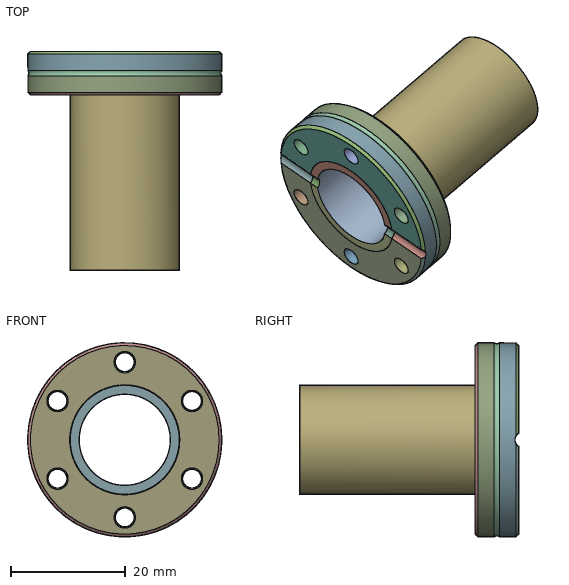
import cadquery as cq

total_length = 38.1
flange_diameter = 33.8
flange_thickness = 7.62
rim_chamfer = 0.5

tube_outer_diameter = 19.0
tube_inner_diameter = 15.8
tube_seat_diameter = 19.1

bolt_count = 6
first_bolt_angle = 90.0
bolt_circle_diameter = 27.0
bolt_hole_diameter = 3.25
countersink_diameter = 3.75
countersink_angle = 90.0

rim_groove_offset = 3.8
rim_groove_width = 0.9
rim_groove_depth = 0.15

leak_groove_radius = 1.37
leak_groove_depth = 0.65

flange_front_y = -flange_thickness
tube_mouth_y = -total_length


def along_y(start_y):
    """Workplane at start_y that extrudes toward +Y, with local y along -Z."""
    return cq.Workplane("XZ", origin=(0, start_y, 0)).transformed(rotate=(180, 0, 0))


def make_leak_groove():
    """Cylinder along X whose lower part cuts across the sealing face."""
    axis_y = leak_groove_radius - leak_groove_depth
    return (
        cq.Workplane("YZ")
        .center(axis_y, 0)
        .circle(leak_groove_radius)
        .extrude(flange_diameter / 2, both=True)
    )


def make_rim_groove():
    """Ring, revolved about Y, that cuts the shallow arc groove into the rim."""
    rim_radius = flange_diameter / 2
    half_width = rim_groove_width / 2
    arc_radius = (half_width**2 + rim_groove_depth**2) / (2 * rim_groove_depth)
    arc_centre_x = rim_radius - rim_groove_depth + arc_radius
    return (
        cq.Workplane("XY")
        .center(arc_centre_x, -rim_groove_offset)
        .circle(arc_radius)
        .revolve(360, (-arc_centre_x, 0), (-arc_centre_x, 1))
    )


def make_flange():
    """Chamfered disc with the tube seat, bolt holes and both grooves."""
    disc = (
        along_y(flange_front_y)
        .circle(flange_diameter / 2)
        .extrude(flange_thickness)
        .edges()
        .chamfer(rim_chamfer)
    )
    drilled = (
        disc.faces("<Y")
        .workplane(centerOption="CenterOfBoundBox")
        .polarArray(bolt_circle_diameter / 2, first_bolt_angle, 360, bolt_count)
        .cskHole(bolt_hole_diameter, countersink_diameter, countersink_angle)
    )
    seat = along_y(flange_front_y).circle(tube_seat_diameter / 2).extrude(flange_thickness)
    return drilled.cut(seat).cut(make_rim_groove()).cut(make_leak_groove())


def make_tube():
    """Straight tube through the flange, notched by the leak-check groove."""
    tube = (
        along_y(tube_mouth_y)
        .circle(tube_outer_diameter / 2)
        .circle(tube_inner_diameter / 2)
        .extrude(total_length)
    )
    return tube.cut(make_leak_groove())


flange = make_flange()
tube = make_tube()

result = cq.Compound.makeCompound([flange.val(), tube.val()])